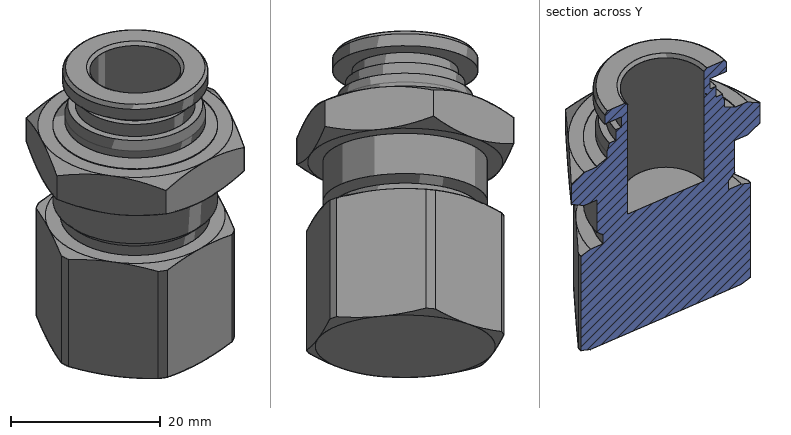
import cadquery as cq
import math

half_sector = math.radians(30)

lower_hex_top = 18.0
groove_top = 19.5
body_chamfer_top = 20.5
nut_bottom = 26.2
nut_height = 6.0
nut_top = nut_bottom + nut_height
body_edge_rise = 0.1
body_edge = nut_top + body_edge_rise
body_top = 33.0
guide_straight_top = 34.1
guide_top = 35.5
sleeve_top = 37.4
collar_bottom = 39.15
overall_height = 41.4

groove_radius = 10.0
body_radius = 11.0
guide_radius = 9.4
guide_tip_radius = 9.0
sleeve_radius = 8.0
neck_radius = 7.1
collar_radius = 9.7
collar_edge_width = 0.4
collar_edge_height = 0.55

bore_radius = 6.05
bore_depth = 20.0
bore_chamfer = 0.45

nut_across_flats = 26.0
nut_chamfer_angle = 30.0
lower_hex_across_flats = 24.0
lower_hex_corner_radius = 13.5
lower_hex_chamfer_angle = 20.0


def revolve_profile(points):
    """Turn a closed (radius, height) outline about the Z axis."""
    return cq.Workplane("XZ").polyline(points).close().revolve(360, (0, 0), (0, 1))


def chamfered_hexagon(across_flats, bottom, top, outer_radius, chamfer_angle):
    """Hexagon with corners on the X axis, trimmed to outer_radius and coned at both ends."""
    flat_radius = across_flats / 2
    corner_diameter = across_flats / math.cos(half_sector)
    drop = (outer_radius - flat_radius) * math.tan(math.radians(chamfer_angle))
    prism = cq.Workplane("XY").workplane(offset=bottom).polygon(6, corner_diameter).extrude(top - bottom)
    envelope = revolve_profile([
        (0, bottom),
        (flat_radius, bottom),
        (outer_radius, bottom + drop),
        (outer_radius, top - drop),
        (flat_radius, top),
        (0, top),
    ])
    return prism.intersect(envelope)


def turned_body():
    """All round stages from the lower hexagon up to the release collar."""
    return revolve_profile([
        (0, 0),
        (groove_radius, 0),
        (groove_radius, groove_top),
        (body_radius, body_chamfer_top),
        (body_radius, body_edge),
        (guide_radius, body_top),
        (guide_radius, guide_straight_top),
        (guide_tip_radius, guide_top),
        (sleeve_radius, guide_top),
        (sleeve_radius, sleeve_top),
        (neck_radius, sleeve_top),
        (neck_radius, collar_bottom),
        (collar_radius, collar_bottom),
        (collar_radius, overall_height - collar_edge_height),
        (collar_radius - collar_edge_width, overall_height),
        (0, overall_height),
    ])


def tube_socket():
    """Blind bore from the top with a chamfered mouth."""
    floor = overall_height - bore_depth
    return revolve_profile([
        (0, floor),
        (bore_radius, floor),
        (bore_radius, overall_height - bore_chamfer),
        (bore_radius + bore_chamfer, overall_height),
        (0, overall_height),
    ])


nut_corner_radius = nut_across_flats / 2 / math.cos(half_sector)
panel_nut = chamfered_hexagon(
    nut_across_flats, nut_bottom, nut_top, nut_corner_radius, nut_chamfer_angle
)
lower_hex = chamfered_hexagon(
    lower_hex_across_flats, 0, lower_hex_top, lower_hex_corner_radius, lower_hex_chamfer_angle
)

result = turned_body().union(panel_nut).union(lower_hex).cut(tube_socket())